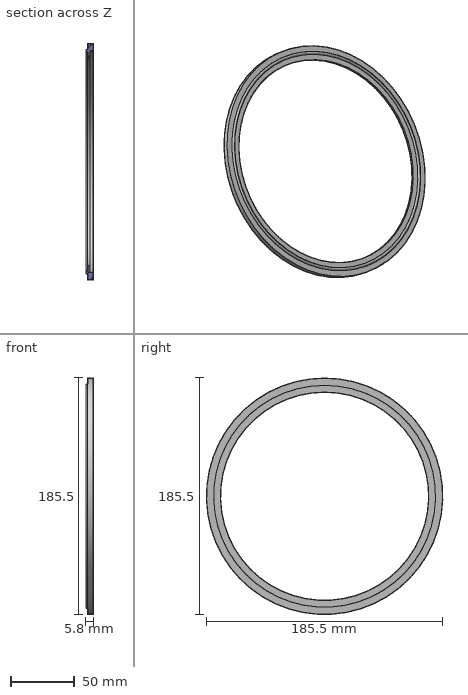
import cadquery as cq

outer_diameter = 185.5
inner_diameter = 163.1
plate_thickness = 4.5
total_thickness = 5.8
bead_mean_diameter = 174.0
bead_width = 2.4
bead_wall_height = 0.3
lip_thickness = 2.0
recess_diameter = 174.0

outer_radius = outer_diameter / 2
inner_radius = inner_diameter / 2
recess_radius = recess_diameter / 2
bead_mean_radius = bead_mean_diameter / 2
bead_inner_radius = bead_mean_radius - bead_width / 2
bead_outer_radius = bead_mean_radius + bead_width / 2
bead_height = total_thickness - plate_thickness


def ring_section():
    """Half section of the ring: round-topped bead on the -X face, stepped bore open to +X."""
    return (
        cq.Workplane("XZ")
        .moveTo(0, inner_radius)
        .lineTo(0, bead_inner_radius)
        .lineTo(-bead_wall_height, bead_inner_radius)
        .threePointArc(
            (-bead_height, bead_mean_radius),
            (-bead_wall_height, bead_outer_radius),
        )
        .lineTo(0, bead_outer_radius)
        .lineTo(0, outer_radius)
        .lineTo(plate_thickness, outer_radius)
        .lineTo(plate_thickness, recess_radius)
        .lineTo(lip_thickness, recess_radius)
        .lineTo(lip_thickness, inner_radius)
        .close()
    )


result = ring_section().revolve(360, (0, 0, 0), (1, 0, 0))